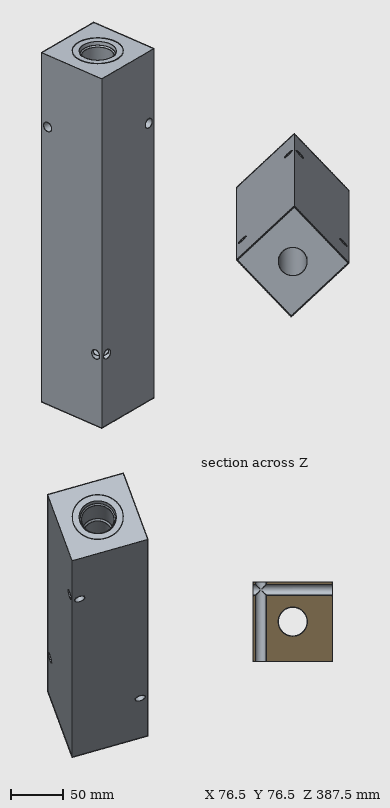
import cadquery as cq

length = 387.5
side = 76.5
base_chamfer = 0.8

recess_diameter = 48.8
recess_depth = 0.5

mouth_diameter = 35.5
mouth_taper_depth = 3.5
mouth_taper_diameter = 33.7
upper_bore_diameter = 31.0
upper_bore_depth = 31.0
through_bore_diameter = 27.5

cross_hole_diameter = 10.0
cross_hole_inset = 7.7
cross_hole_offset = side / 2 - cross_hole_inset
cross_hole_end_distance = 79.5


def make_block():
    block = cq.Workplane("XY").box(side, side, length, centered=(True, True, False))
    return block.faces("<Z").edges().chamfer(base_chamfer)


def make_bore():
    """Revolved cutter: recess, steep taper, 45 degree seat, upper bore, 45 degree shoulder, bore."""
    recess_floor = length - recess_depth
    taper_end = recess_floor - mouth_taper_depth
    seat_end = taper_end - (mouth_taper_diameter - upper_bore_diameter) / 2
    shoulder_top = length - upper_bore_depth
    shoulder_end = shoulder_top - (upper_bore_diameter - through_bore_diameter) / 2
    profile = [
        (0, 0),
        (through_bore_diameter / 2, 0),
        (through_bore_diameter / 2, shoulder_end),
        (upper_bore_diameter / 2, shoulder_top),
        (upper_bore_diameter / 2, seat_end),
        (mouth_taper_diameter / 2, taper_end),
        (mouth_diameter / 2, recess_floor),
        (recess_diameter / 2, recess_floor),
        (recess_diameter / 2, length),
        (0, length),
    ]
    return cq.Workplane("XZ").polyline(profile).close().revolve(360, (0, 0, 0), (0, 1, 0))


def make_cross_hole(plane, across, height):
    """Cylinder crossing the whole block, normal to the given plane."""
    return (
        cq.Workplane(plane)
        .center(across, height)
        .circle(cross_hole_diameter / 2)
        .extrude(side, both=True)
    )


result = make_block().cut(make_bore())

upper_height = length - cross_hole_end_distance
lower_height = cross_hole_end_distance
for direction, height in ((-1, upper_height), (1, lower_height)):
    across = direction * cross_hole_offset
    result = result.cut(make_cross_hole("XZ", across, height))
    result = result.cut(make_cross_hole("YZ", -across, height))